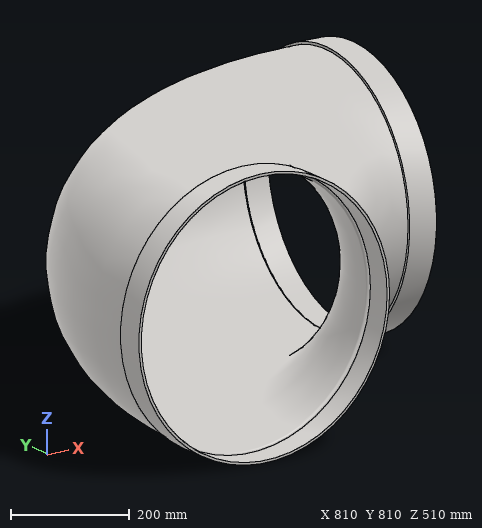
import cadquery as cq
import math

bend_radius = 500.0
bend_angle = 90.0
full_turn = 360.0
pipe_diameter = 500.0
wall = 5.0
collar_length = 55.0

pipe_radius = pipe_diameter / 2
bore_radius = pipe_radius - wall
socket_radius = pipe_radius
collar_radius = socket_radius + wall
lip_radius = socket_radius - bore_radius

inlet_plane = cq.Plane(origin=(0, 0, 0), xDir=(1, 0, 0), normal=(0, -1, 0))
outlet_plane = cq.Plane(origin=(bend_radius, bend_radius, 0), xDir=(0, 1, 0), normal=(1, 0, 0))


def quarter_bend(section_radius):
    """Solid quarter torus of the given section radius, from the inlet to the outlet."""
    section = cq.Workplane(inlet_plane).circle(section_radius)
    return section.revolve(bend_angle, (bend_radius, 0), (bend_radius, -1))


def make_collar(plane):
    """Collar standing outward from one end of the bend, with a rounded lip at the socket floor."""
    profile_plane = cq.Plane(origin=plane.origin, xDir=plane.xDir, normal=plane.xDir.cross(plane.zDir))
    lip_offset = lip_radius * math.sqrt(0.5)
    lip_middle = (socket_radius - lip_offset, lip_offset)
    profile = (
        cq.Workplane(profile_plane)
        .moveTo(bore_radius, 0)
        .lineTo(collar_radius, 0)
        .lineTo(collar_radius, collar_length)
        .lineTo(socket_radius, collar_length)
        .lineTo(socket_radius, lip_radius)
        .threePointArc(lip_middle, (bore_radius, 0))
        .close()
    )
    return profile.revolve(full_turn, (0, 0), (0, 1))


result = quarter_bend(pipe_radius).cut(quarter_bend(bore_radius))
for end_plane in (inlet_plane, outlet_plane):
    result = result.union(make_collar(end_plane))